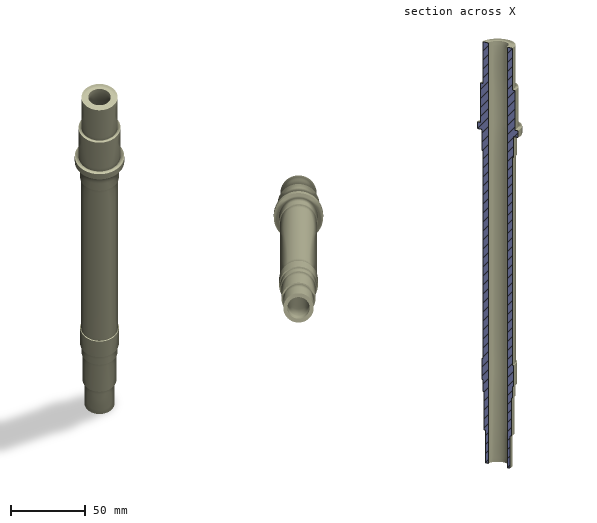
import cadquery as cq

total_length = 298.0
bore_diameter = 15.0

outer_steps = [
    (23.0, 20.3),
    (50.0, 22.5),
    (58.5, 24.0),
    (73.5, 26.0),
    (220.5, 24.5),
    (235.5, 26.0),
    (240.5, 33.0),
    (268.5, 28.0),
    (total_length, 24.0),
]


def stepped_shaft(steps):
    """Stack coaxial cylinders along Z, starting at the bottom end."""
    shaft = cq.Workplane("XY")
    bottom = 0.0
    for top, diameter in steps:
        section = cq.Workplane("XY").workplane(offset=bottom).circle(diameter / 2).extrude(top - bottom)
        shaft = shaft.union(section) if bottom > 0 else section
        bottom = top
    return shaft


bore = cq.Workplane("XY").circle(bore_diameter / 2).extrude(total_length)
result = stepped_shaft(outer_steps).cut(bore)